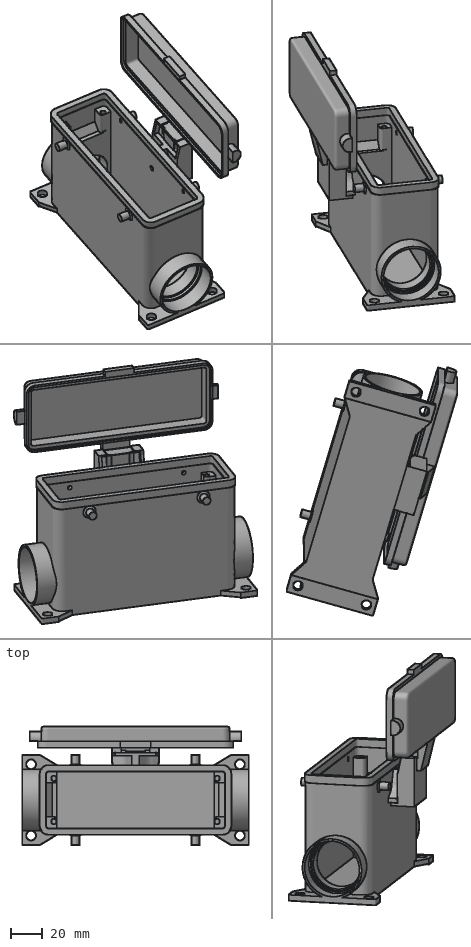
import cadquery as cq


OVERALL_LENGTH = 144.0
OVERALL_HEIGHT = 140.7
HALF_LENGTH = OVERALL_LENGTH / 2

RIM_LENGTH = 121.8
RIM_WIDTH = 44.4
RIM_RADIUS = 5.9
RIM_TOP = 79.8
RIM_HEIGHT = 5.2
RIM_OVERHANG = 0.3
RIM_BOTTOM = RIM_TOP - RIM_HEIGHT
BODY_LENGTH = RIM_LENGTH - 2 * RIM_OVERHANG
BODY_WIDTH = RIM_WIDTH - 2 * RIM_OVERHANG
BODY_RADIUS = 6.5
BODY_BOTTOM = 0.5
WALL = 3.6
FLOOR_TOP = 4.3
INNER_LENGTH = BODY_LENGTH - 2 * WALL
INNER_WIDTH = BODY_WIDTH - 2 * WALL
MOUTH_INSET = 0.3
MOUTH_LENGTH = INNER_LENGTH - 2 * MOUTH_INSET
MOUTH_WIDTH = INNER_WIDTH - 2 * MOUTH_INSET
INNER_RADIUS = 2.7
MOUTH_RADIUS = 1.5

FOOT_THICKNESS = 3.9
FOOT_HALF_WIDTH = 28.7
FOOT_TAPER_START = BODY_LENGTH / 2
FOOT_TAPER_END = 49.5
FOOT_CORNER_RADIUS = 0.9
FOOT_HOLE_X = 66.2
FOOT_HOLE_Y = 22.6
FOOT_HOLE_RADIUS = 3.0

ENTRY_Z = 22.2
ENTRY_OUTER_RADIUS = 19.5
ENTRY_BORE_RADIUS = 18.0
ENTRY_BORE_DEPTH = 10.7
ENTRY_STEP_RADIUS = 16.8
ENTRY_STEP_DEPTH = 2.3
ENTRY_HOLE_RADIUS = 15.7

COLUMN_FACE_X = 49.8
COLUMN_WIDTH = 7.5
COLUMN_TOP = 68.8
COLUMN_EDGE_RADIUS = 1.7
SCREW_X = 51.8
SCREW_Y = 13.7
SCREW_RADIUS = 1.7
SCREW_DEPTH = 15.1
LEDGE_X = 52.7
LEDGE_Z = 53.3
SLOPE_TOP = 58.0

PEG_X = 38.0
PEG_Z = 70.4
PEG_RADIUS = 2.6
PEG_BASE_RADIUS = 4.2
PEG_BASE_HEIGHT = 0.7
RIVET_HOLE_RADIUS = 1.3
HINGE_HOLE_RADIUS = 1.7

COVER_FRONT = 33.0
COVER_BACK = 46.7
COVER_Z = 114.5
FLANGE_LENGTH = 124.1
FLANGE_HEIGHT = 46.4
FLANGE_RADIUS = 5.8
FLANGE_THICKNESS = 4.3
PAN_LENGTH = 119.5
PAN_HEIGHT = 42.3
PAN_RADIUS = 4.3
PAN_EDGE_FILLET = 1.7
SEAT_LIP = 1.3
SEAT_DEPTH = 1.7
CAVITY_LENGTH = 117.0
CAVITY_HEIGHT = 38.7
CAVITY_RADIUS = 1.7
CAVITY_FLOOR = 43.9
TAB_WIDTH = 19.3
TRUNNION_SPAN = 134.5
TRUNNION_RADIUS = 4.8
TRUNNION_Y = 38.7

ARM_WIDTH = 18.1
ARM_BOTTOM = 75.3
ARM_FRONT = 39.6
ARM_STEP_Z = 83.2
ARM_TOP_BACK = 46.1
ARM_BOTTOM_BACK = 41.8
ARM_ROOT_OVERLAP = 1.2
HINGE_WIDTH = 30.0
HINGE_BACK = 39.0
HINGE_TOP = 84.4
HINGE_BOTTOM = 53.0
HINGE_FRONT = 28.0
HINGE_TOP_FRONT = 30.1
HINGE_LIP_FRONT = 23.6
HINGE_WALL = 2.0
POCKET_TOP = 83.5
POCKET_TOP_BACK = 35.3
POCKET_STEP_Z = 82.1
POCKET_STEP_FRONT = 32.8
POCKET_BOTTOM_BACK = 31.1
TONGUE_PANEL_WIDTH = 12.1
TONGUE_PANEL_FRONT = 30.8
TONGUE_SIDE_FRONT = 31.5
TONGUE_TOP = 83.8
BRACKET_TOP = 74.0
BRACKET_BOTTOM = 54.9
BRACKET_TOP_WIDTH = 4.9
BRACKET_WIDTH = 29.4
BRACKET_SHOULDER_Z = 57.7
BRACKET_ARC_START = (5.6, 66.1)
BRACKET_ARC_MIDDLE = (7.5, 62.4)
BRACKET_ARC_END = (10.7, 60.2)
HINGE_SCREW_Z = 59.8


def rounded_block(length, width, radius, bottom, top):
    """Upright block with rounded vertical edges, centred on X = Y = 0."""
    block = cq.Workplane("XY").workplane(offset=bottom).rect(length, width).extrude(top - bottom)
    return block.edges("|Z").fillet(radius)


def box(x_range, y_range, z_range):
    """Box between two limits on each axis."""
    size = [high - low for low, high in (x_range, y_range, z_range)]
    return cq.Workplane("XY").box(*size, centered=False).translate((x_range[0], y_range[0], z_range[0]))


def cylinder(radius, start, direction, length):
    """Cylinder from a start point along a direction."""
    return cq.Workplane(cq.Solid.makeCylinder(radius, length, cq.Vector(*start), cq.Vector(*direction)))


def side_profile(points, width):
    """Prism with a (Y, Z) outline, centred on X = 0."""
    return cq.Workplane("YZ").polyline(points).close().extrude(width / 2, both=True)


def mirrored_x(shape):
    """Shape together with its mirror image across X = 0."""
    return shape.union(shape.mirror("YZ"))


def mirrored_y(shape):
    """Shape together with its mirror image across Y = 0."""
    return shape.union(shape.mirror("XZ"))


def make_foot():
    outline = [
        (HALF_LENGTH, -FOOT_HALF_WIDTH),
        (HALF_LENGTH, FOOT_HALF_WIDTH),
        (FOOT_TAPER_START, FOOT_HALF_WIDTH),
        (FOOT_TAPER_END, BODY_WIDTH / 2),
        (FOOT_TAPER_END, -BODY_WIDTH / 2),
        (FOOT_TAPER_START, -FOOT_HALF_WIDTH),
    ]
    foot = cq.Workplane("XY").polyline(outline).close().extrude(FOOT_THICKNESS)
    foot = foot.edges("|Z and >X").fillet(FOOT_CORNER_RADIUS)
    relief = box((0, BODY_LENGTH / 2), (-FOOT_HALF_WIDTH, FOOT_HALF_WIDTH), (0, BODY_BOTTOM))
    foot = foot.cut(relief)
    for y in (-FOOT_HOLE_Y, FOOT_HOLE_Y):
        foot = foot.cut(cylinder(FOOT_HOLE_RADIUS, (FOOT_HOLE_X, y, 0), (0, 0, 1), FOOT_THICKNESS))
    return foot


def make_end_block():
    """Thickened end wall with a sloped top, flanked by two taller screw columns."""
    inner_x = INNER_LENGTH / 2
    outline = [
        (COLUMN_FACE_X, BODY_BOTTOM),
        (COLUMN_FACE_X, LEDGE_Z),
        (LEDGE_X, LEDGE_Z),
        (inner_x, SLOPE_TOP),
        (inner_x, BODY_BOTTOM),
    ]
    half_width = INNER_WIDTH / 2
    block = cq.Workplane("XZ").polyline(outline).close().extrude(half_width, both=True)
    column_y = half_width - COLUMN_WIDTH
    column = box((COLUMN_FACE_X, inner_x), (column_y, half_width), (BODY_BOTTOM, COLUMN_TOP))
    column = column.edges("|Z and <X and <Y").fillet(COLUMN_EDGE_RADIUS)
    screw_bottom = COLUMN_TOP - SCREW_DEPTH
    column = column.cut(cylinder(SCREW_RADIUS, (SCREW_X, SCREW_Y, screw_bottom), (0, 0, 1), SCREW_DEPTH))
    return block.union(mirrored_y(column))


def make_entry_bore():
    """Stepped bore of one cable entry, running inward from the end of its collar."""
    inward = (-1, 0, 0)
    start = (HALF_LENGTH, 0, ENTRY_Z)
    bore = cylinder(ENTRY_BORE_RADIUS, start, inward, ENTRY_BORE_DEPTH)
    bore = bore.union(cylinder(ENTRY_STEP_RADIUS, start, inward, ENTRY_BORE_DEPTH + ENTRY_STEP_DEPTH))
    return bore.union(cylinder(ENTRY_HOLE_RADIUS, start, inward, HALF_LENGTH - COLUMN_FACE_X))


def make_peg():
    """Locking peg with a tapered base on the +Y wall, ending level with the feet."""
    root_y = INNER_WIDTH / 2 + WALL / 2
    peg = cylinder(PEG_RADIUS, (PEG_X, root_y, PEG_Z), (0, 1, 0), FOOT_HALF_WIDTH - root_y)
    wall_y = BODY_WIDTH / 2
    base = cq.Solid.makeCone(
        PEG_BASE_RADIUS, PEG_RADIUS, PEG_BASE_HEIGHT, cq.Vector(PEG_X, wall_y, PEG_Z), cq.Vector(0, 1, 0)
    )
    return peg.union(cq.Workplane(base))


def make_housing():
    body = rounded_block(BODY_LENGTH, BODY_WIDTH, BODY_RADIUS, BODY_BOTTOM, RIM_BOTTOM)
    body = body.union(rounded_block(RIM_LENGTH, RIM_WIDTH, RIM_RADIUS, RIM_BOTTOM, RIM_TOP))
    entry_root = INNER_LENGTH / 2
    collar = cylinder(ENTRY_OUTER_RADIUS, (entry_root, 0, ENTRY_Z), (1, 0, 0), HALF_LENGTH - entry_root)
    body = body.union(mirrored_x(collar.union(make_foot())))
    body = body.cut(rounded_block(INNER_LENGTH, INNER_WIDTH, INNER_RADIUS, FLOOR_TOP, RIM_BOTTOM))
    body = body.cut(rounded_block(MOUTH_LENGTH, MOUTH_WIDTH, MOUTH_RADIUS, RIM_BOTTOM, RIM_TOP))
    body = body.union(mirrored_x(make_end_block()))
    body = body.cut(mirrored_x(make_entry_bore()))
    return body.union(mirrored_x(mirrored_y(make_peg())))


def rounded_panel(length, height, radius, front, back):
    """Panel with rounded corners, standing in the XZ plane at the cover's height."""
    panel = box((-length / 2, length / 2), (front, back), (COVER_Z - height / 2, COVER_Z + height / 2))
    return panel.edges("|Y").fillet(radius)


def make_cover():
    flange_back = COVER_FRONT + FLANGE_THICKNESS
    pan = rounded_panel(PAN_LENGTH, PAN_HEIGHT, PAN_RADIUS, COVER_FRONT, COVER_BACK)
    pan = pan.faces(">Y").edges().fillet(PAN_EDGE_FILLET)
    cover = pan.union(rounded_panel(FLANGE_LENGTH, FLANGE_HEIGHT, FLANGE_RADIUS, COVER_FRONT, flange_back))
    cover = cover.union(
        box((-TAB_WIDTH / 2, TAB_WIDTH / 2), (COVER_FRONT, flange_back), (COVER_Z, OVERALL_HEIGHT))
    )
    trunnion = cylinder(TRUNNION_RADIUS, (-TRUNNION_SPAN / 2, TRUNNION_Y, COVER_Z), (1, 0, 0), TRUNNION_SPAN)
    cover = cover.union(
        trunnion.intersect(box((-HALF_LENGTH, HALF_LENGTH), (flange_back, COVER_BACK), (0, OVERALL_HEIGHT)))
    )
    seat_length = FLANGE_LENGTH - 2 * SEAT_LIP
    seat_height = FLANGE_HEIGHT - 2 * SEAT_LIP
    seat_back = COVER_FRONT + SEAT_DEPTH
    cover = cover.cut(
        rounded_panel(seat_length, seat_height, FLANGE_RADIUS - SEAT_LIP, COVER_FRONT, seat_back)
    )
    return cover.cut(
        rounded_panel(CAVITY_LENGTH, CAVITY_HEIGHT, CAVITY_RADIUS, COVER_FRONT, CAVITY_FLOOR)
    )


def make_arm():
    """Tapered arm hanging from the cover down to the back of the hinge block."""
    pan_bottom = COVER_Z - PAN_HEIGHT / 2
    flange_bottom = COVER_Z - FLANGE_HEIGHT / 2
    root_z = pan_bottom + ARM_ROOT_OVERLAP
    flange_back = COVER_FRONT + FLANGE_THICKNESS
    outline = [
        (ARM_TOP_BACK, root_z),
        (ARM_TOP_BACK, pan_bottom),
        (ARM_BOTTOM_BACK, ARM_BOTTOM),
        (HINGE_BACK, ARM_BOTTOM),
        (HINGE_BACK, ARM_STEP_Z),
        (ARM_FRONT, ARM_STEP_Z),
        (ARM_FRONT, flange_bottom),
        (flange_back, flange_bottom),
        (flange_back, root_z),
    ]
    return side_profile(outline, ARM_WIDTH)


def make_hinge_block():
    """Hinge housing, hollow towards the body, with a tongue standing in the middle."""
    outline = [
        (HINGE_BACK, HINGE_BOTTOM),
        (HINGE_BACK, HINGE_TOP),
        (HINGE_TOP_FRONT, HINGE_TOP),
        (HINGE_FRONT, BRACKET_TOP),
        (HINGE_FRONT, BRACKET_BOTTOM),
        (HINGE_LIP_FRONT, BRACKET_BOTTOM),
        (HINGE_LIP_FRONT, HINGE_BOTTOM),
    ]
    block = side_profile(outline, HINGE_WIDTH)
    pocket = [
        (HINGE_FRONT, BRACKET_TOP),
        (HINGE_FRONT, POCKET_TOP),
        (POCKET_TOP_BACK, POCKET_TOP),
        (POCKET_TOP_BACK, POCKET_STEP_Z),
        (POCKET_STEP_FRONT, POCKET_STEP_Z),
        (POCKET_BOTTOM_BACK, BRACKET_TOP),
    ]
    block = block.cut(side_profile(pocket, HINGE_WIDTH - 2 * HINGE_WALL))
    half_arm = ARM_WIDTH / 2
    half_panel = TONGUE_PANEL_WIDTH / 2
    notch = box((-half_arm, half_arm), (HINGE_FRONT, HINGE_BACK), (TONGUE_TOP, HINGE_TOP))
    tongue = box((-half_arm, half_arm), (TONGUE_SIDE_FRONT, HINGE_BACK), (BRACKET_TOP, TONGUE_TOP))
    panel = box((-half_panel, half_panel), (TONGUE_PANEL_FRONT, HINGE_BACK), (BRACKET_TOP, TONGUE_TOP))
    return block.cut(notch).union(tongue).union(panel)


def make_bracket():
    """Bell-shaped plate between the hinge housing and the body, spreading downward."""
    root_y = INNER_WIDTH / 2 + WALL / 2
    half_outline = (
        cq.Workplane("XZ", origin=(0, root_y, 0))
        .moveTo(0, BRACKET_TOP)
        .lineTo(BRACKET_TOP_WIDTH / 2, BRACKET_TOP)
        .lineTo(*BRACKET_ARC_START)
        .threePointArc(BRACKET_ARC_MIDDLE, BRACKET_ARC_END)
        .lineTo(BRACKET_WIDTH / 2, BRACKET_SHOULDER_Z)
        .lineTo(BRACKET_WIDTH / 2, BRACKET_BOTTOM)
        .lineTo(0, BRACKET_BOTTOM)
        .close()
    )
    return mirrored_x(half_outline.extrude(root_y - HINGE_FRONT))


def make_rivet_holes():
    """Blind holes in the inner faces behind the pegs and the hinge bracket."""
    start_y = INNER_WIDTH / 2
    peg_hole = cylinder(RIVET_HOLE_RADIUS, (PEG_X, start_y, PEG_Z), (0, 1, 0), WALL)
    hinge_hole = cylinder(HINGE_HOLE_RADIUS, (0, start_y, HINGE_SCREW_Z), (0, 1, 0), WALL)
    return mirrored_x(mirrored_y(peg_hole)).union(hinge_hole)


result = (
    make_housing()
    .union(make_bracket())
    .union(make_hinge_block())
    .union(make_arm())
    .union(make_cover())
    .cut(make_rivet_holes())
)